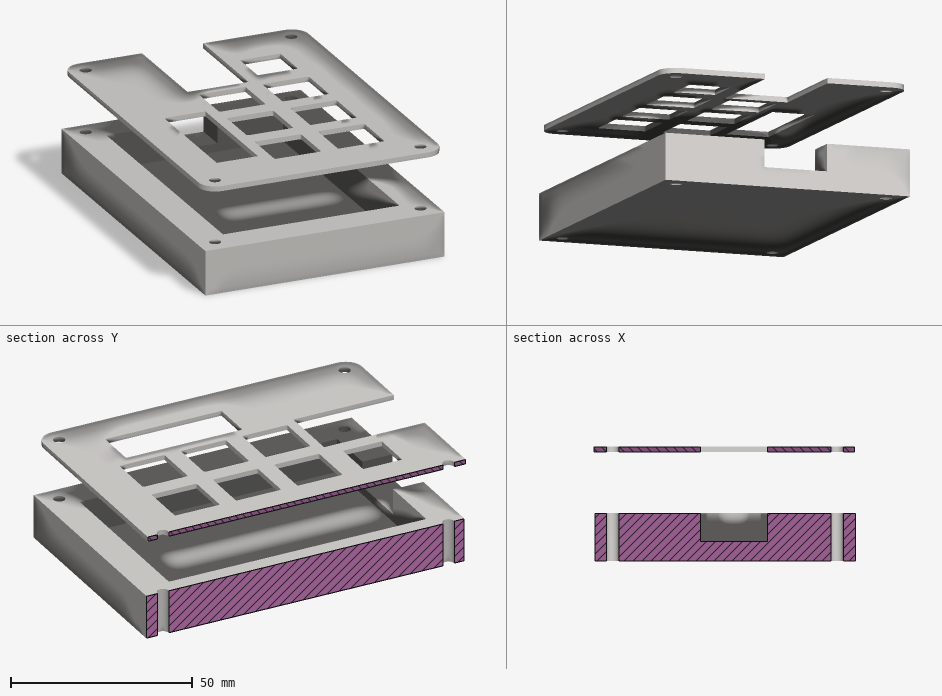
import cadquery as cq

length = 98.6
width = 71.8

case_height = 13.2
wall = 9.4
floor_thickness = 3.0
case_notch_depth = 7.7

total_height = 31.5
plate_thickness = 1.5
plate_bottom = total_height - plate_thickness
plate_x = -0.4
plate_y = 0.3
corner_radius = 4.95
plate_notch_length = 31.2

screw_hole_diameter = 3.4
screw_spacing_x = 88.5
screw_spacing_y = 61.7
screw_center_x = -0.2
screw_center_y = 0.1

notch_width = 18.3
notch_y = -2.4

key_size = 14.0
key_corner_radius = 0.5
key_pitch = 19.0
key_columns = 3
key_rows = 2
keys_center_x = 10.5
keys_center_y = 7.0

square_window_size = 12.1
square_window_x = -28.1
square_window_y = 17.1
long_window_length = 36.0
long_window_width = 12.4
long_window_x = 14.7
long_window_y = -19.0


def block(x_size, y_size, z_size, x, y, z):
    """Box centred on (x, y) with its underside at z."""
    return cq.Workplane("XY").box(x_size, y_size, z_size, centered=(True, True, False)).translate((x, y, z))


def screw_holes(bottom, depth):
    """Cutter for the four corner holes, rising from bottom."""
    return (
        cq.Workplane("XY", origin=(screw_center_x, screw_center_y, bottom))
        .rarray(screw_spacing_x, screw_spacing_y, 2, 2)
        .circle(screw_hole_diameter / 2)
        .extrude(depth)
    )


def side_notch(left_x, x_size, bottom, depth):
    """Cutter running in the +X direction from a body's -X side."""
    return block(x_size, notch_width, depth, left_x + x_size / 2, notch_y, bottom)


def key_openings():
    """Cutter for the grid of round-cornered key openings."""
    return (
        cq.Workplane("XY", origin=(keys_center_x, keys_center_y, plate_bottom))
        .rarray(key_pitch, key_pitch, key_columns, key_rows)
        .rect(key_size, key_size)
        .extrude(plate_thickness)
        .edges("|Z")
        .fillet(key_corner_radius)
    )


def plate_window(x_size, y_size, x, y):
    """Cutter for a sharp-cornered window through the plate."""
    return block(x_size, y_size, plate_thickness, x, y, plate_bottom)


def make_case():
    pocket_depth = case_height - floor_thickness
    notch_floor = case_height - case_notch_depth
    case = block(length, width, case_height, 0, 0, 0)
    case = case.cut(block(length - 2 * wall, width - 2 * wall, pocket_depth, 0, 0, floor_thickness))
    case = case.cut(side_notch(-length / 2, wall, notch_floor, case_notch_depth))
    return case.cut(screw_holes(0, case_height))


def make_plate():
    left_x = plate_x - length / 2
    plate = block(length, width, plate_thickness, plate_x, plate_y, plate_bottom)
    plate = plate.edges("|Z").fillet(corner_radius)
    plate = plate.cut(key_openings())
    plate = plate.cut(plate_window(square_window_size, square_window_size, square_window_x, square_window_y))
    plate = plate.cut(plate_window(long_window_length, long_window_width, long_window_x, long_window_y))
    plate = plate.cut(side_notch(left_x, plate_notch_length, plate_bottom, plate_thickness))
    return plate.cut(screw_holes(plate_bottom, plate_thickness))


case = make_case()
plate = make_plate()

result = cq.Compound.makeCompound([case.val(), plate.val()])